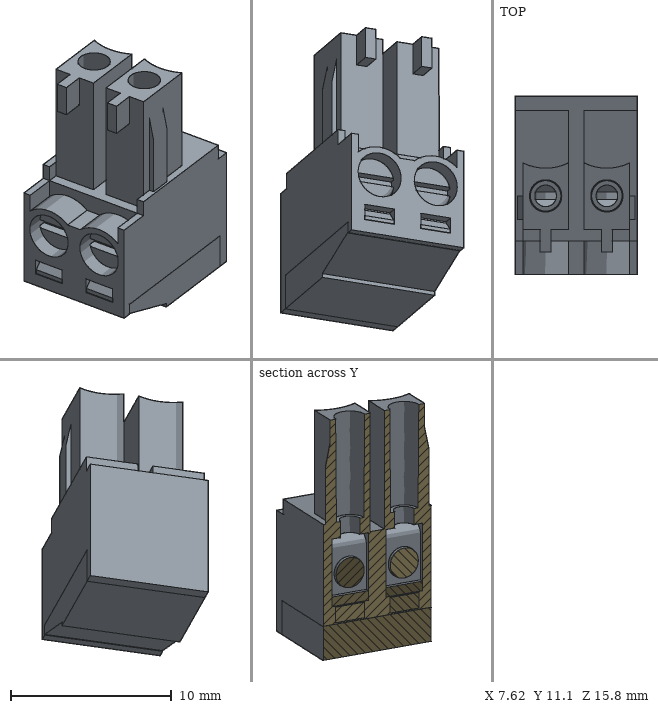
import cadquery as cq
import math


width = 7.62
depth = 11.1
height = 15.8
shoulder_z = 7.98
deck_z = 8.99
deck_front_y = 2.1
deck_back_y = 10.2
front_lip_z = 1.52

pole_pitch = 3.8
pole_x = pole_pitch / 2
pole_y = 4.9
pole_positions = (-pole_x, pole_x)
tower_width = 2.85
tower_front_y = 2.8
tower_back_y = 6.95
tower_back_sag = 0.33
key_width = 0.7
key_front_y = 1.4
key_bottom_z = 13.81

rib_projection = 0.32
rib_front_y = 3.43
rib_back_y = 4.9
rib_taper_z = 12.77
rib_top_z = 14.28

saddle_z = 6.83
saddle_rise = 0.52

pin_hole_top_diameter = 2.0
pin_hole_bottom_diameter = 1.9
pin_hole_throat_diameter = 1.35

screw_z = 5.5
screw_head_diameter = 2.9
screw_head_face_y = 0.87
screw_head_length = 1.18
screw_head_rounding = 0.28
screw_slot_width = 0.57
screw_slot_depth = 0.63
screw_shaft_diameter = 2.0
screw_tip_y = 6.95

contact_width = 2.53
contact_length = 2.05
contact_top_z = 7.9
contact_bottom_z = 3.48
contact_bridge = 0.63
jaw_gap = 0.46
mouth_width = 1.58
mouth_slope = 45.0
mouth_rounding = 0.57

clamp_width = 2.0
clamp_bottom_z = 2.37
clamp_top_z = 3.37
clamp_front_y = 0.06
clamp_back_y = 6.32
clamp_bevel_bottom_z = 2.64
clamp_bevel_top_z = 3.27
clamp_bevel_depth = 0.63

cover_front_y = 0.58
cover_back_y = 10.36
cover_top_z = 2.25
cover_slope_start_z = 1.56
cover_slope_end_y = 4.57
cover_slope_end_z = 0.25


def box(x, y, z):
    """Box between the (low, high) pairs x, y and z."""
    corner = (x[0], y[0], z[0])
    size = (x[1] - x[0], y[1] - y[0], z[1] - z[0])
    return cq.Workplane("XY", origin=corner).box(*size, centered=False)


def across(center, size):
    """Low and high limits of a size centred on a position."""
    return (center - size / 2, center + size / 2)


def prism_along_x(points, x_limits):
    """Polygon of (y, z) points extruded between two X limits."""
    low, high = x_limits
    return cq.Workplane("YZ", origin=(low, 0, 0)).polyline(points).close().extrude(high - low)


def rod_along_y(x, diameter, start_y, end_y):
    """Round bar on a screw axis."""
    return cq.Workplane("XZ", origin=(x, start_y, screw_z)).circle(diameter / 2).extrude(start_y - end_y)


def make_cover():
    outline = [
        (cover_front_y, cover_top_z),
        (cover_back_y, cover_top_z),
        (cover_back_y, 0),
        (cover_slope_end_y, 0),
        (cover_slope_end_y, cover_slope_end_z),
        (cover_front_y, cover_slope_start_z),
    ]
    return prism_along_x(outline, across(0, width))


def make_screw(x):
    head_back_y = screw_head_face_y + screw_head_length
    head = (
        rod_along_y(x, screw_head_diameter, screw_head_face_y, head_back_y)
        .faces("<Y").edges().fillet(screw_head_rounding)
    )
    slot = box(
        across(x, screw_head_diameter),
        (screw_head_face_y, screw_head_face_y + screw_slot_depth),
        across(screw_z, screw_slot_width),
    )
    shaft = rod_along_y(x, screw_shaft_diameter, head_back_y, screw_tip_y)
    return head.cut(slot).union(shaft)


def screw_bore(x):
    """Stepped bore for a screw, open at the front face."""
    head_bore = rod_along_y(x, screw_head_diameter, 0, screw_head_face_y + screw_head_length)
    return head_bore.union(rod_along_y(x, screw_shaft_diameter, 0, screw_tip_y))


def contact_block(x):
    return box(
        across(x, contact_width), across(pole_y, contact_length), (contact_bottom_z, contact_top_z)
    )


def make_contact(x):
    slope = math.radians(mouth_slope)
    half_gap = jaw_gap / 2
    half_mouth = mouth_width / 2
    arc_top = half_gap + mouth_rounding * (1 - math.cos(slope))
    arc_top_z = contact_top_z - (half_mouth - arc_top) * math.tan(slope)
    arc_bottom_z = arc_top_z - mouth_rounding * math.sin(slope)
    arc_middle = half_gap + mouth_rounding * (1 - math.cos(slope / 2))
    arc_middle_z = arc_bottom_z + mouth_rounding * math.sin(slope / 2)
    slot_bottom_z = contact_bottom_z + contact_bridge
    slot = (
        cq.Workplane("YZ", origin=(x - contact_width / 2, pole_y, 0))
        .moveTo(-half_mouth, contact_top_z)
        .lineTo(-arc_top, arc_top_z)
        .threePointArc((-arc_middle, arc_middle_z), (-half_gap, arc_bottom_z))
        .lineTo(-half_gap, slot_bottom_z)
        .lineTo(half_gap, slot_bottom_z)
        .lineTo(half_gap, arc_bottom_z)
        .threePointArc((arc_middle, arc_middle_z), (arc_top, arc_top_z))
        .lineTo(half_mouth, contact_top_z)
        .close()
        .extrude(contact_width)
    )
    return contact_block(x).cut(slot).cut(screw_bore(x))


def make_clamp(x):
    bevel_back_y = clamp_front_y + clamp_bevel_depth
    outline = [
        (clamp_front_y, clamp_bottom_z),
        (clamp_front_y, clamp_bevel_bottom_z),
        (bevel_back_y, clamp_bevel_top_z),
        (bevel_back_y, clamp_top_z),
        (clamp_back_y, clamp_top_z),
        (clamp_back_y, clamp_bottom_z),
    ]
    return prism_along_x(outline, across(x, clamp_width))


def clamp_window(x):
    return box(across(x, clamp_width), (0, clamp_back_y), (clamp_bottom_z, clamp_top_z))


def housing_shell():
    """Block with a raised deck, cut by the middle channel and stepped down in front of the towers."""
    outline = [
        (0, front_lip_z),
        (0, shoulder_z),
        (deck_front_y, shoulder_z),
        (deck_front_y, deck_z),
        (deck_back_y, deck_z),
        (deck_back_y, shoulder_z),
        (depth, shoulder_z),
        (depth, 0),
        (cover_back_y, 0),
        (cover_back_y, cover_top_z),
        (cover_front_y, cover_top_z),
        (cover_front_y, front_lip_z),
    ]
    shell = prism_along_x(outline, across(0, width))
    channel = box(across(0, pole_pitch - tower_width), (0, depth), (shoulder_z, deck_z))
    front_step = box(across(0, pole_pitch + tower_width), (0, tower_front_y), (shoulder_z, deck_z))
    return shell.cut(channel).cut(front_step)


def saddle_cut():
    """Space above the wavy front shelf, one crest over each screw."""
    half = tower_width / 2
    left, right = pole_positions
    return (
        cq.Workplane("XZ")
        .moveTo(left - half, saddle_z)
        .threePointArc((left, saddle_z + saddle_rise), (left + half, saddle_z))
        .lineTo(right - half, saddle_z)
        .threePointArc((right, saddle_z + saddle_rise), (right + half, saddle_z))
        .lineTo(right + half, shoulder_z)
        .lineTo(left - half, shoulder_z)
        .close()
        .extrude(-deck_front_y)
    )


def make_tower(x):
    """Plug tower with a hollow back face and a key at its top front edge."""
    left, right = across(x, tower_width)
    tower = (
        cq.Workplane("XY", origin=(0, 0, shoulder_z))
        .moveTo(left, tower_front_y)
        .lineTo(right, tower_front_y)
        .lineTo(right, tower_back_y)
        .threePointArc((x, tower_back_y - tower_back_sag), (left, tower_back_y))
        .close()
        .extrude(height - shoulder_z)
    )
    key = box(across(x, key_width), (key_front_y, tower_front_y), (key_bottom_z, height))
    return tower.union(key)


def make_rib(side):
    """Rib with a sloped top on the outer flank of a tower; side is -1 or 1."""
    inner_x = side * (pole_x + tower_width / 2)
    outer_x = inner_x + side * rib_projection
    return (
        cq.Workplane("XZ", origin=(0, rib_front_y, 0))
        .polyline([(inner_x, deck_z), (outer_x, deck_z), (outer_x, rib_taper_z), (inner_x, rib_top_z)])
        .close()
        .extrude(rib_front_y - rib_back_y)
    )


def pin_hole(x):
    """Tapered hole down to the deck level, then a narrower throat down to the contact."""
    taper = (
        cq.Workplane("XY", origin=(x, pole_y, height))
        .circle(pin_hole_top_diameter / 2)
        .workplane(offset=deck_z - height)
        .circle(pin_hole_bottom_diameter / 2)
        .loft()
    )
    throat = (
        cq.Workplane("XY", origin=(x, pole_y, contact_top_z))
        .circle(pin_hole_throat_diameter / 2)
        .extrude(deck_z - contact_top_z)
    )
    return taper.union(throat)


def make_housing():
    housing = housing_shell().cut(saddle_cut())
    for x in pole_positions:
        housing = housing.union(make_tower(x))
    for side in (-1, 1):
        housing = housing.union(make_rib(side))
    for x in pole_positions:
        for opening in (pin_hole(x), screw_bore(x), contact_block(x), clamp_window(x)):
            housing = housing.cut(opening)
    return housing


housing = make_housing()
cover = make_cover()
screws = [make_screw(x) for x in pole_positions]
contacts = [make_contact(x) for x in pole_positions]
clamps = [make_clamp(x) for x in pole_positions]

result = cq.Compound.makeCompound(
    [body.solids().val() for body in (housing, cover, *screws, *contacts, *clamps)]
)